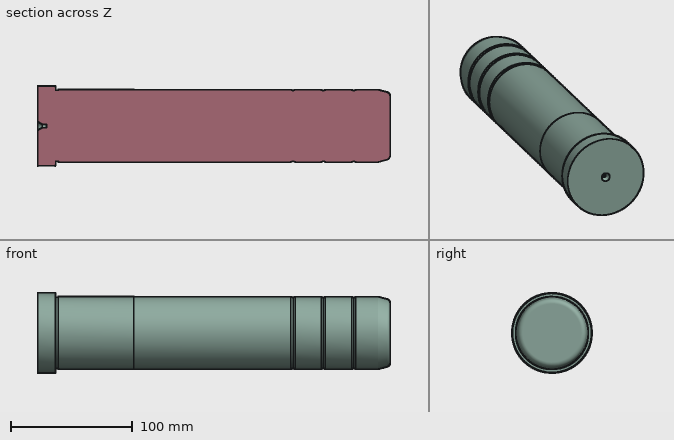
import cadquery as cq
import math

length = 290.0
head_diameter = 66.0
head_length = 15.0
head_chamfer = 0.5
shank_diameter = 60.0
step_position = 79.2
guide_clearance = 0.05

undercut_width = 2.0
undercut_depth = 0.5

groove_count = 3
groove_pitch = 25.0
first_groove_position = 210.0
groove_width = 3.5
groove_depth = 1.0

taper_length = 10.2
taper_angle = 15.0
nose_radius = 4.0

centre_mouth_diameter = 7.0
centre_pilot_diameter = 2.5
centre_cone_angle = 60.0
centre_pilot_length = 3.5

head_radius = head_diameter / 2
shank_radius = shank_diameter / 2
guide_radius = shank_radius - guide_clearance


def cylinder(start, end, radius):
    """Solid cylinder about the X axis between two X positions."""
    return cq.Workplane("YZ", origin=(start, 0, 0)).circle(radius).extrude(end - start)


def revolve_about_axis(profile):
    """Turn an outline in the XY plane about the X axis."""
    return profile.close().revolve(360, (0, 0, 0), (1, 0, 0))


def make_head():
    head = cylinder(0, head_length, head_radius)
    return head.faces(">X").edges().chamfer(head_chamfer)


def make_shank():
    undercut_end = head_length + undercut_width
    undercut = cylinder(head_length, undercut_end, shank_radius - undercut_depth)
    fitted = cylinder(undercut_end, step_position, shank_radius)
    return undercut.union(fitted).union(make_guide())


def make_guide():
    """Guide stretch ending in a taper with a rounded nose."""
    end_radius = guide_radius - taper_length * math.tan(math.radians(taper_angle))
    guide = revolve_about_axis(
        cq.Workplane("XY")
        .moveTo(step_position, 0)
        .lineTo(step_position, guide_radius)
        .lineTo(length - taper_length, guide_radius)
        .lineTo(length, end_radius)
        .lineTo(length, 0)
    )
    return guide.faces(">X").edges().fillet(nose_radius)


def make_groove(centre):
    """Ring cutter with a V section, its flanks reaching the guide surface."""
    half_width = groove_width / 2
    return revolve_about_axis(
        cq.Workplane("XY")
        .moveTo(centre - half_width, guide_radius)
        .lineTo(centre, guide_radius - groove_depth)
        .lineTo(centre + half_width, guide_radius)
        .lineTo(centre + half_width, head_radius)
        .lineTo(centre - half_width, head_radius)
    )


def make_centre_hole():
    """Conical mouth followed by a straight pilot hole."""
    mouth_radius = centre_mouth_diameter / 2
    pilot_radius = centre_pilot_diameter / 2
    cone_depth = (mouth_radius - pilot_radius) / math.tan(math.radians(centre_cone_angle / 2))
    pilot_end = cone_depth + centre_pilot_length
    return revolve_about_axis(
        cq.Workplane("XY")
        .lineTo(0, mouth_radius)
        .lineTo(cone_depth, pilot_radius)
        .lineTo(pilot_end, pilot_radius)
        .lineTo(pilot_end, 0)
    )


result = make_head().union(make_shank())
for index in range(groove_count):
    result = result.cut(make_groove(first_groove_position + index * groove_pitch))
result = result.cut(make_centre_hole())